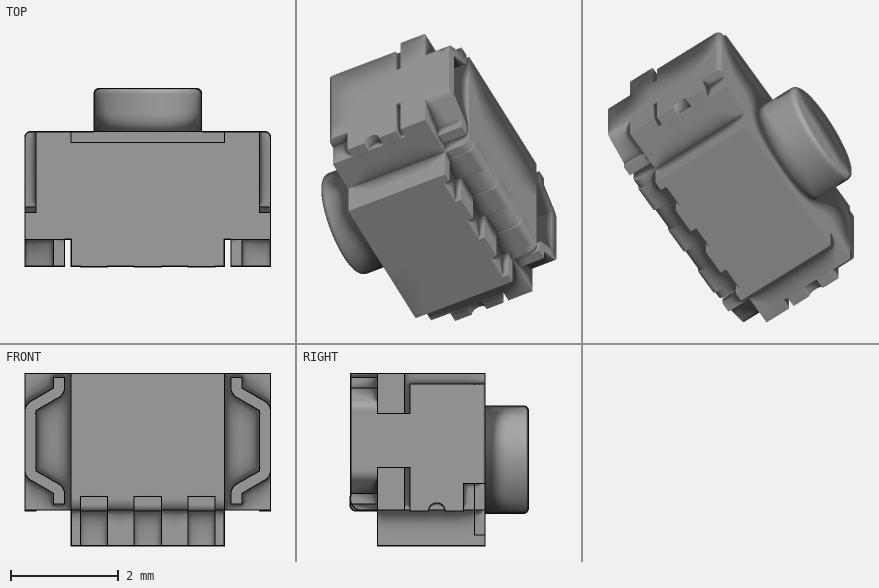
import cadquery as cq
import math


width = 4.56
total_height = 3.2
top = total_height / 2
bottom = -total_height / 2

sheet = 0.2
inner_half_width = width / 2 - sheet
shell_bend_radius = 0.1
side_plate_bottom = top - 2.555
side_plate_depth = 1.4
strap_center_z = top - 1.25
strap_height = 1.005
corner_notch_top = top - 2.047
corner_notch_depth = 0.4
side_hole_radius = 0.15
side_hole_y = -0.9
rear_tongue_bottom = top - 2.995

clip_web_half = 0.555
clip_half = 1.17
clip_tip_offset = 0.535
clip_slope = math.radians(30)

body_bottom = top - 2.54
tongue_width = 2.85
flank_depth = 2.0
front_depth = 2.5
ledge_depth = 1.5
bulge_radius = 0.2

contact_count = 3
contact_pitch = 1.0
contact_width = 0.5
contact_proud = 0.01
contact_height = 0.265
contact_radius = 0.105
contact_slot_depth = 0.12

button_diameter = 2.0
button_length = 0.803
button_fillet = 0.1


def block(x_range, y_range, z_range):
    """Axis-aligned box between pairs of limits."""
    lows, highs = zip(x_range, y_range, z_range)
    sizes = [high - low for low, high in zip(lows, highs)]
    return cq.Workplane("XY").box(*sizes, centered=False).translate(lows)


def centered_block(x_width, y_range, z_range):
    """Axis-aligned box, symmetric about X = 0."""
    return block((-x_width / 2, x_width / 2), y_range, z_range)


def mirrored_pair(right_part):
    """Both the +X part and its mirror image."""
    return right_part.union(right_part.mirror("YZ"))


def make_rear_plate():
    """Rear wall between the side plates, with a tongue at the top and one at the bottom."""
    plate = centered_block(2 * inner_half_width, (-sheet, 0), (body_bottom, top - sheet))
    tongues = centered_block(tongue_width, (-sheet, 0), (rear_tongue_bottom, top))
    return plate.union(tongues)


def make_strap():
    """Strip of the +X side plate that runs forward to the clip leg."""
    z_range = (strap_center_z - strap_height / 2, strap_center_z + strap_height / 2)
    return block((inner_half_width, width / 2), (-flank_depth, -side_plate_depth), z_range)


def make_clip_leg():
    """Bent leg on the +X side; each bend is sharp inside and rounded about that corner outside."""
    side = width / 2
    tip_outer = side - clip_tip_offset
    tip_inner = tip_outer - sheet
    web_inner = side - sheet
    normal_x = sheet * math.sin(clip_slope)
    normal_z = sheet * math.cos(clip_slope)
    slope_rise = (web_inner + normal_x - tip_outer) * math.tan(clip_slope)
    tip_bend_z = clip_web_half + normal_z + slope_rise
    half_angle = (math.pi / 2 - clip_slope) / 2
    arc_x = sheet * math.cos(half_angle)
    arc_z = sheet * math.sin(half_angle)

    upper_half = (
        cq.Workplane("XZ", origin=(0, -flank_depth, strap_center_z))
        .moveTo(side, 0)
        .lineTo(side, clip_web_half)
        .threePointArc(
            (web_inner + arc_x, clip_web_half + arc_z),
            (web_inner + normal_x, clip_web_half + normal_z),
        )
        .lineTo(tip_outer, tip_bend_z)
        .lineTo(tip_outer, clip_half)
        .lineTo(tip_inner, clip_half)
        .lineTo(tip_inner, tip_bend_z)
        .threePointArc(
            (tip_outer - arc_x, tip_bend_z - arc_z),
            (tip_outer - normal_x, tip_bend_z - normal_z),
        )
        .lineTo(web_inner, clip_web_half)
        .lineTo(web_inner, 0)
        .close()
        .extrude(front_depth - flank_depth)
    )
    lower_half = upper_half.mirror("XY", (0, 0, strap_center_z))
    return upper_half.union(lower_half)


def make_side_plate():
    """+X side plate with its rear bend, corner notch and half-round hole in the lower edge."""
    plate = block(
        (inner_half_width, width / 2), (-side_plate_depth, 0), (side_plate_bottom, top - sheet)
    )
    plate = plate.edges("|Z and >X and >Y").fillet(shell_bend_radius)
    notch = block(
        (inner_half_width, width / 2), (-corner_notch_depth, 0), (side_plate_bottom, corner_notch_top)
    )
    hole = (
        cq.Workplane("YZ", origin=(inner_half_width, side_hole_y, side_plate_bottom))
        .circle(side_hole_radius)
        .extrude(sheet)
    )
    return plate.cut(notch).cut(hole).union(make_strap()).union(make_clip_leg())


def make_shell():
    return make_rear_plate().union(mirrored_pair(make_side_plate()))


def contact_positions():
    middle = (contact_count - 1) / 2
    return [(index - middle) * contact_pitch for index in range(contact_count)]


def make_contact(x):
    """Contact around the lower front edge of the bulge, level below with the side plates."""
    contact = centered_block(
        contact_width,
        (-front_depth - contact_proud, contact_slot_depth - flank_depth),
        (side_plate_bottom, side_plate_bottom + contact_height),
    )
    return contact.edges("|X and <Y and <Z").fillet(contact_radius).translate((x, 0, 0))


def make_contact_slot(x):
    """Shallow slot down the front of the lower block, under a contact."""
    slot = centered_block(
        contact_width, (-flank_depth, contact_slot_depth - flank_depth), (bottom, body_bottom)
    )
    return slot.translate((x, 0, 0))


def make_housing():
    core = centered_block(2 * inner_half_width, (-flank_depth, 0), (body_bottom, top))
    flanks = centered_block(width, (-flank_depth, -ledge_depth), (body_bottom, top))
    bulge = centered_block(tongue_width, (-front_depth, -flank_depth), (body_bottom, top))
    bulge = bulge.edges("|X and <Y and <Z").fillet(bulge_radius)
    lower_block = centered_block(tongue_width, (-flank_depth, 0), (bottom, body_bottom))
    housing = core.union(flanks).union(bulge).union(lower_block)

    housing = housing.cut(make_rear_plate()).cut(mirrored_pair(make_strap()))

    for x in contact_positions():
        housing = housing.cut(make_contact_slot(x)).union(make_contact(x))
    return housing


def make_button():
    """Round button standing on the rear plate."""
    return (
        cq.Workplane("XZ")
        .circle(button_diameter / 2)
        .extrude(-button_length)
        .faces(">Y")
        .edges()
        .fillet(button_fillet)
    )


housing = make_housing()
shell = make_shell()
button = make_button()

result = cq.Compound.makeCompound([body.solids().val() for body in (housing, shell, button)])